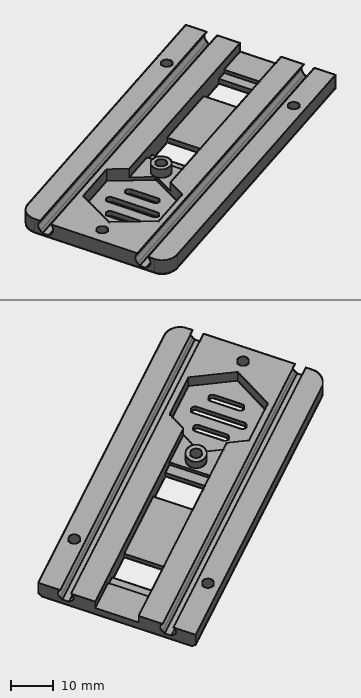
import cadquery as cq
import math

WIDTH = 40.0
LENGTH = 82.0
THICKNESS = 5.0
CORNER_RADIUS = 4.0
EDGE_CHAMFER = 1.0

GROOVE_DIAMETER = 4.0
GROOVE_SPACING = 26.0
GROOVE_AXIS_Z = 3.5

CHANNEL_WIDTH = 11.0
CHANNEL_FLOOR_Z = 2.5

WINDOW_LENGTH = 7.5
WINDOW_Y = (42.3, 67.8)
LEDGE_LENGTH = 2.55
RECESS_Z = 1.5

HEX_ACROSS_CORNERS = 23.3
HEX_Y = 18.95
HEX_FLOOR_Z = 1.5
SLOT_WIDTH = 2.0
SLOT_PITCH = 4.75
LONG_SLOT = 14.0
SHORT_SLOT = 9.0

HOLE_DIAMETER = 2.8
SIDE_HOLE_X = 17.0
SIDE_HOLE_Y = 67.0
FRONT_HOLE_Y = 3.9
BOSS_Y = 33.0
BOSS_DIAMETER = 5.0
BOSS_TOP_Z = THICKNESS


def box_between(width, y_start, y_end, z_start, z_end):
    """Box centred on X = 0 that spans the given Y and Z ranges."""
    return (
        cq.Workplane("XY", origin=(0, y_start, z_start))
        .box(width, y_end - y_start, z_end - z_start, centered=(True, False, False))
    )


def make_plate():
    """Plate with rounded front corners, chamfered underneath except along the back."""
    plate = box_between(WIDTH, 0, LENGTH, 0, THICKNESS)
    plate = plate.edges("|Z and <Y").fillet(CORNER_RADIUS)
    return plate.faces("<Z").edges("not >Y").chamfer(EDGE_CHAMFER)


def make_groove(center_x):
    """Round bore whose lower half is relieved to a flat floor and two 45 degree flanks."""
    radius = GROOVE_DIAMETER / 2
    floor_half_width = radius * math.tan(math.radians(22.5))
    profile = cq.Workplane("XZ", origin=(center_x, 0, GROOVE_AXIS_Z))
    bore = profile.circle(radius).extrude(-LENGTH)
    tangent = radius * math.sin(math.radians(45))
    floor = (
        profile.polyline([
            (-tangent, -tangent),
            (-floor_half_width, -radius),
            (floor_half_width, -radius),
            (tangent, -tangent),
        ])
        .close()
        .extrude(-LENGTH)
    )
    return bore.union(floor)


def make_channel():
    """Channel from the hexagon to the back, with the strap recess and its windows."""
    channel = box_between(CHANNEL_WIDTH, HEX_Y, LENGTH, CHANNEL_FLOOR_Z, THICKNESS)
    for center_y in WINDOW_Y:
        start = center_y - WINDOW_LENGTH / 2
        end = center_y + WINDOW_LENGTH / 2
        channel = channel.union(box_between(CHANNEL_WIDTH, start, end, 0, THICKNESS))
    recess_start = min(WINDOW_Y) - WINDOW_LENGTH / 2 - LEDGE_LENGTH
    recess_end = max(WINDOW_Y) + WINDOW_LENGTH / 2 + LEDGE_LENGTH
    recess = box_between(CHANNEL_WIDTH, recess_start, recess_end, RECESS_Z, THICKNESS)
    channel = channel.union(recess)
    return channel


def make_hex_pocket():
    """Hexagon with corners toward the front and back, and slots through its floor."""
    pocket = (
        cq.Workplane("XY", origin=(0, HEX_Y, HEX_FLOOR_Z))
        .transformed(rotate=(0, 0, 90))
        .polygon(6, HEX_ACROSS_CORNERS)
        .extrude(THICKNESS - HEX_FLOOR_Z)
    )
    for row, length in ((-1, SHORT_SLOT), (0, LONG_SLOT), (1, SHORT_SLOT)):
        slot = (
            cq.Workplane("XY", origin=(0, HEX_Y + row * SLOT_PITCH, 0))
            .slot2D(length, SLOT_WIDTH)
            .extrude(THICKNESS)
        )
        pocket = pocket.union(slot)
    return pocket


def make_boss():
    return cq.Workplane("XY", origin=(0, BOSS_Y, 0)).circle(BOSS_DIAMETER / 2).extrude(BOSS_TOP_Z)


def make_holes():
    centers = [
        (-SIDE_HOLE_X, SIDE_HOLE_Y),
        (SIDE_HOLE_X, SIDE_HOLE_Y),
        (0, FRONT_HOLE_Y),
        (0, BOSS_Y),
    ]
    return cq.Workplane("XY").pushPoints(centers).circle(HOLE_DIAMETER / 2).extrude(THICKNESS)


result = (
    make_plate()
    .cut(make_groove(-GROOVE_SPACING / 2))
    .cut(make_groove(GROOVE_SPACING / 2))
    .cut(make_channel())
    .cut(make_hex_pocket())
    .union(make_boss())
    .cut(make_holes())
)